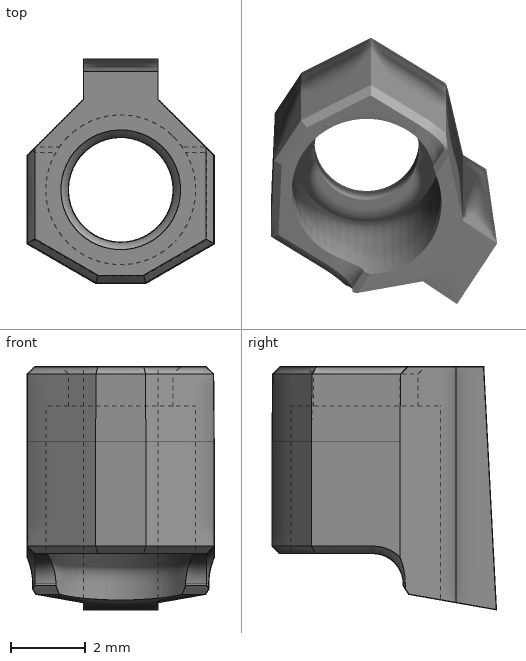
import cadquery as cq
import math

half_width = 5.0 / 2
front_y = -2.5
tab_back_y = 3.5
height = 6.5
tab_half_width = 1.0

front_flat_half = 0.67
front_face_angle = 30.0
side_back_y = 0.915
side_front_y = front_y + (half_width - front_flat_half) * math.tan(math.radians(front_face_angle))
tab_root_y = side_back_y + half_width - tab_half_width
edge_chamfer = 0.2

relief_z = 4.5
relief_angle = 0.5

underside_z = 1.5
step_radius = 0.8
skirt_front_y = 1.0
skirt_slope = 10.0
skirt_chamfer_depth = 0.15
skirt_chamfer_height = 0.235
tab_lean = 3.0

bore_radius = 1.4
counterbore_radius = 2.0
counterbore_top_z = 5.44

margin = 0.65


def skirt_bottom_z(y):
    return (tab_back_y - y) * math.tan(math.radians(skirt_slope))


def front_prism():
    """Front half of the octagon, with its straight sides carried back past the tab."""
    back = tab_back_y + margin
    return (
        cq.Workplane("XY")
        .polyline([
            (-half_width, back),
            (-half_width, side_front_y),
            (-front_flat_half, front_y),
            (front_flat_half, front_y),
            (half_width, side_front_y),
            (half_width, back),
        ])
        .close()
        .extrude(height)
    )


def side_profile():
    """Raised underside, rounded step, sloping skirt and leaning tab back."""
    chamfer_y = skirt_front_y + skirt_chamfer_depth
    chamfer_z = skirt_bottom_z(chamfer_y)
    arc_y = skirt_front_y - step_radius
    arc_z = underside_z - step_radius
    diagonal = step_radius * math.sqrt(0.5)
    return (
        cq.Workplane("YZ")
        .moveTo(front_y - margin, height)
        .lineTo(front_y - margin, underside_z)
        .lineTo(arc_y, underside_z)
        .threePointArc((arc_y + diagonal, arc_z + diagonal), (skirt_front_y, arc_z))
        .lineTo(skirt_front_y, chamfer_z + skirt_chamfer_height)
        .lineTo(chamfer_y, chamfer_z)
        .lineTo(tab_back_y, 0)
        .lineTo(tab_back_y - height * math.tan(math.radians(tab_lean)), height)
        .close()
        .extrude(half_width + margin, both=True)
    )


def rear_outline():
    """Plan limit that forms the 45 degree rear faces and the tab sides."""
    front = front_y - margin
    back = tab_back_y + margin
    return (
        cq.Workplane("XY")
        .polyline([
            (-half_width - margin, front),
            (half_width + margin, front),
            (half_width + margin, side_back_y - margin),
            (tab_half_width, tab_root_y),
            (tab_half_width, back),
            (-tab_half_width, back),
            (-tab_half_width, tab_root_y),
            (-half_width - margin, side_back_y - margin),
        ])
        .close()
        .extrude(height)
    )


def relief_cutter(x, y, outward_angle):
    """Thin wedge leaning into the vertical face through (x, y)."""
    rise = height - relief_z
    depth = rise * math.tan(math.radians(relief_angle))
    across = math.cos(math.radians(outward_angle))
    along = math.sin(math.radians(outward_angle))
    plane = cq.Plane(origin=(x, y, relief_z), xDir=(across, along, 0), normal=(along, -across, 0))
    return (
        cq.Workplane(plane)
        .polyline([(0, 0), (margin, 0), (margin, rise), (-depth, rise)])
        .close()
        .extrude(2 * height, both=True)
    )


def bevel_underside(body):
    """Chamfer the outer edges of the underside flat, the rounded step and the skirt front."""
    tolerance = 0.0005
    edges = []
    for face in body.faces().vals():
        center = face.Center()
        if center.z > underside_z + tolerance or center.y > skirt_front_y + tolerance:
            continue
        for edge in face.Edges():
            lies_across = edge.BoundingBox().ylen < tolerance and edge.BoundingBox().zlen < tolerance
            at_front = edge.Center().y < front_y + tolerance
            if at_front or not lies_across:
                edges.append(edge)
    return body.newObject(edges).chamfer(edge_chamfer)


body = front_prism().intersect(side_profile())
for x, y, angle in [
    (0, front_y, -90),
    (half_width, side_front_y, -90 + front_face_angle),
    (-half_width, side_front_y, -90 - front_face_angle),
    (half_width, 0, 0),
]:
    body = body.cut(relief_cutter(x, y, angle))
body = body.faces(">Z").edges("not >Y").chamfer(edge_chamfer)

body = bevel_underside(body)
body = body.intersect(rear_outline())

bore = cq.Workplane("XY").circle(bore_radius).extrude(height)
counterbore = cq.Workplane("XY").circle(counterbore_radius).extrude(counterbore_top_z)
countersink = cq.Workplane("XY").add(
    cq.Solid.makeCone(
        bore_radius,
        bore_radius + edge_chamfer,
        edge_chamfer,
        pnt=cq.Vector(0, 0, height - edge_chamfer),
    )
)
result = body.cut(bore).cut(counterbore).cut(countersink)